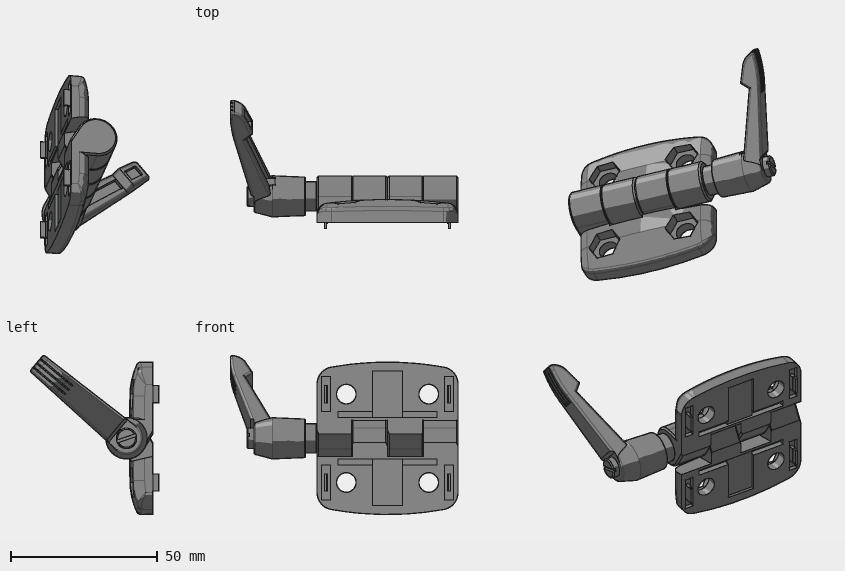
import cadquery as cq
import math


FACE_Y = -9.0
HALF_WIDTH = 24.0
END_Z = 25.95
END_RADIUS = 108.5
CORNER_RADIUS = 6.0
THICKNESS = 7.9
DOME_RADIUS_ACROSS = 170.5
DOME_RADIUS_ALONG = 25.6
DOME_START_Z = 14.3
SIDE_FILLET = 3.9
END_FILLET = 1.55

KNUCKLE_RADIUS = 7.0
KNUCKLE_FOOT_Z = 1.5
KNUCKLE_PITCH = HALF_WIDTH / 2
KNUCKLE_GAP = 0.15
FREE_CHAMFER = 0.6
GAP_CHAMFER = 0.2
CLEARANCE_FACE_Z = 6.1
CLEARANCE_BACK_Z = 8.0

HOLE_X = 14.0
HOLE_Z = 15.0
HOLE_DIAMETER = 6.6
NUT_ACROSS_FLATS = 10.0
NUT_FLOOR_DEPTH = 3.6
CENTRE_HALF_WIDTH = 5.0
CENTRE_INNER_Z = 7.05
CENTRE_OUTER_Z = 22.9
CENTRE_DEPTH = 1.0
SLOT_HALF_LENGTH = 16.9
SLOT_OUTER_Z = 9.1
SLOT_DEPTH = 2.0
POCKET_X = 20.9
POCKET_WIDTH = 3.1
POCKET_LENGTH = 11.9
POCKET_DEPTH = 1.5
TAB_THICKNESS = 0.8
TAB_LENGTH = 5.9
TAB_HEIGHT = 2.0
TAB_FOOT_STEP = 0.3

LEVER_ANGLE = 40.0
HUB_RIGHT_X = -28.0
HUB_JOINT_X = -39.1
HUB_LEFT_X = -45.4
HUB_RIGHT_RADIUS = 6.6
HUB_JOINT_RADIUS = 7.05
HUB_LEFT_RADIUS = 5.4
HUB_LEFT_FILLET = 0.6
HUB_RIGHT_CHAMFER = 0.2
ARM_TIP = 39.9
ARM_HALF_WIDTH_AXIS = 5.2
ARM_HALF_WIDTH_TIP = 3.65
ARM_OUTER_X = -53.5
ARM_FILLET = 0.8
TIP_FILLET = 0.5
CHANNEL_HALF_WIDTH = 1.9
CHANNEL_DEPTH = 1.9
LUG_WALL = 1.0
GRIP_SPACING = 1.85
GRIP_WIDTH = 0.5
GRIP_START = 25.6
GRIP_START_X = -51.3
GRIP_END_X = -52.7

COLLAR_RADIUS = 5.0
COLLAR_CHAMFER = 0.2
SCREW_RADIUS = 3.5
SCREW_HEIGHT = 2.5
SCREW_CHAMFER = 0.5
SCREW_SLOT_WIDTH = 1.0
SCREW_SLOT_DEPTH = 1.0
SCREW_SLOT_ANGLE = -19.0


def box(x0, x1, y0, y1, z0, z1):
    return cq.Workplane("XY").box(x1 - x0, y1 - y0, z1 - z0, centered=False).translate((x0, y0, z0))


def leaf_outline():
    """Plate with a crowned outer end and rounded corners, tall enough to hold the dome."""
    centre_z = END_Z - END_RADIUS
    corner_x = HALF_WIDTH - CORNER_RADIUS
    corner_rise = math.sqrt((END_RADIUS - CORNER_RADIUS) ** 2 - corner_x**2)
    corner_z = centre_z + corner_rise
    tangent = math.atan2(corner_rise, corner_x)
    middle_angle = (tangent + math.pi / 2) / 2

    def end_arc_point(angle):
        return (END_RADIUS * math.cos(angle), centre_z + END_RADIUS * math.sin(angle))

    tangent_x, tangent_z = end_arc_point(tangent)
    middle_x = corner_x + CORNER_RADIUS * math.cos(tangent / 2)
    middle_z = corner_z + CORNER_RADIUS * math.sin(tangent / 2)
    return (
        cq.Workplane("XZ", origin=(0, FACE_Y, 0))
        .moveTo(-HALF_WIDTH, 0)
        .lineTo(HALF_WIDTH, 0)
        .lineTo(HALF_WIDTH, corner_z)
        .threePointArc((middle_x, middle_z), (tangent_x, tangent_z))
        .threePointArc(end_arc_point(middle_angle), (0, END_Z))
        .threePointArc(end_arc_point(math.pi - middle_angle), (-tangent_x, tangent_z))
        .threePointArc((-middle_x, middle_z), (-HALF_WIDTH, corner_z))
        .close()
        .extrude(-2 * THICKNESS)
    )


def dome():
    """Ring whose outer surface is the doubly curved back of the leaf."""
    plane = cq.Plane(
        origin=(0, FACE_Y + THICKNESS - DOME_RADIUS_ACROSS, 0), xDir=(0, -1, 0), normal=(-1, 0, 0)
    )

    def crest(z):
        drop = DOME_RADIUS_ALONG - math.sqrt(DOME_RADIUS_ALONG**2 - (z - DOME_START_Z) ** 2)
        return (DOME_RADIUS_ACROSS - drop, z)

    top_z = END_Z + 0.8
    inner = DOME_RADIUS_ACROSS - 2 * THICKNESS
    return (
        cq.Workplane(plane)
        .moveTo(inner, 0)
        .lineTo(DOME_RADIUS_ACROSS, 0)
        .lineTo(DOME_RADIUS_ACROSS, DOME_START_Z)
        .threePointArc(crest((DOME_START_Z + top_z) / 2), crest(top_z))
        .lineTo(inner, top_z)
        .close()
        .revolve(360, (0, 0), (0, 1))
    )


def leaf_plate():
    block = box(-HALF_WIDTH, HALF_WIDTH, FACE_Y, FACE_Y + 2 * THICKNESS, CLEARANCE_FACE_Z, END_Z + 0.8)
    block = block.intersect(dome())
    for side in (-HALF_WIDTH, HALF_WIDTH):
        back_edges = cq.selectors.BoxSelector(
            (side - 0.1, FACE_Y + 0.8, CLEARANCE_FACE_Z + 0.1), (side + 0.1, FACE_Y + THICKNESS, END_Z + 0.7)
        )
        block = block.edges(back_edges).fillet(SIDE_FILLET)
    plate = block.intersect(leaf_outline())
    end_edges = cq.selectors.BoxSelector(
        (-HALF_WIDTH / 2, FACE_Y + 0.8, END_Z - 1.55), (HALF_WIDTH / 2, FACE_Y + THICKNESS, END_Z + 0.8)
    )
    return plate.edges(end_edges).fillet(END_FILLET)


def knuckle_clearance(x_left, x_right):
    """Space for a mating knuckle, with a sloped wall."""
    deep = 2 * THICKNESS
    slope = (CLEARANCE_BACK_Z - CLEARANCE_FACE_Z) / THICKNESS
    return (
        cq.Workplane("YZ", origin=(x_left, 0, 0))
        .moveTo(FACE_Y, CLEARANCE_FACE_Z)
        .lineTo(FACE_Y + deep, CLEARANCE_FACE_Z + deep * slope)
        .lineTo(FACE_Y + deep, 0)
        .lineTo(FACE_Y, 0)
        .close()
        .extrude(x_right - x_left)
    )


def knuckle(x_left, x_right):
    """Barrel around the hinge axis, joined to the mounting face by a tangent underside."""
    foot_distance = math.hypot(FACE_Y, KNUCKLE_FOOT_Z)
    tangent = math.atan2(KNUCKLE_FOOT_Z, FACE_Y) + math.acos(KNUCKLE_RADIUS / foot_distance)
    return (
        cq.Workplane("YZ", origin=(x_left, 0, 0))
        .moveTo(FACE_Y, KNUCKLE_FOOT_Z)
        .lineTo(KNUCKLE_RADIUS * math.cos(tangent), KNUCKLE_RADIUS * math.sin(tangent))
        .threePointArc((KNUCKLE_RADIUS, 0), (0, KNUCKLE_RADIUS))
        .lineTo(FACE_Y, KNUCKLE_RADIUS)
        .close()
        .extrude(x_right - x_left)
        .faces("<X").edges("%CIRCLE or <Z").chamfer(FREE_CHAMFER)
        .faces(">X").edges("%CIRCLE or <Z").chamfer(GAP_CHAMFER)
    )


def mounting_recesses():
    """Shallow centre recess with a narrow slot on each side of it."""
    centre = box(
        -CENTRE_HALF_WIDTH, CENTRE_HALF_WIDTH, FACE_Y, FACE_Y + CENTRE_DEPTH, CENTRE_INNER_Z, CENTRE_OUTER_Z
    )
    right = box(
        CENTRE_HALF_WIDTH, SLOT_HALF_LENGTH, FACE_Y, FACE_Y + SLOT_DEPTH, CENTRE_INNER_Z, SLOT_OUTER_Z
    )
    return centre.union(right).union(right.mirror("YZ"))


def tab_pocket():
    half_width = POCKET_WIDTH / 2
    half_length = POCKET_LENGTH / 2
    return box(
        POCKET_X - half_width, POCKET_X + half_width,
        FACE_Y, FACE_Y + POCKET_DEPTH,
        HOLE_Z - half_length, HOLE_Z + half_length,
    )


def tab():
    """Locating tab standing on the pocket floor, with a stepped foot."""
    outer_x = POCKET_X + (TAB_THICKNESS + TAB_FOOT_STEP) / 2
    inner_x = outer_x - TAB_THICKNESS
    z0 = HOLE_Z - TAB_LENGTH / 2
    z1 = HOLE_Z + TAB_LENGTH / 2
    blade = box(inner_x, outer_x, FACE_Y - TAB_HEIGHT, FACE_Y + POCKET_DEPTH, z0, z1)
    foot = box(inner_x - TAB_FOOT_STEP, outer_x, FACE_Y - TAB_FOOT_STEP, FACE_Y + POCKET_DEPTH, z0, z1)
    return blade.union(foot)


def mounting_hole(x):
    """Through hole with a hexagonal nut recess in the back."""
    bore = (
        cq.Workplane("XZ", origin=(x, FACE_Y, HOLE_Z))
        .circle(HOLE_DIAMETER / 2)
        .extrude(-THICKNESS)
    )
    corner_diameter = NUT_ACROSS_FLATS / math.cos(math.pi / 6)
    nut_recess = (
        cq.Workplane("XZ", origin=(x, FACE_Y + NUT_FLOOR_DEPTH, HOLE_Z))
        .polygon(6, corner_diameter)
        .extrude(-THICKNESS)
    )
    return bore.union(nut_recess)


def hinge_leaf():
    gap = KNUCKLE_GAP / 2
    body = leaf_plate()
    body = body.cut(knuckle_clearance(-KNUCKLE_PITCH - gap, 0))
    body = body.cut(knuckle_clearance(KNUCKLE_PITCH - gap, HALF_WIDTH))
    body = body.union(knuckle(-HALF_WIDTH, -KNUCKLE_PITCH - gap))
    body = body.union(knuckle(0, KNUCKLE_PITCH - gap))
    body = body.cut(mounting_recesses())
    for x in (-HOLE_X, HOLE_X):
        body = body.cut(mounting_hole(x))
    body = body.cut(tab_pocket()).cut(tab_pocket().mirror("YZ"))
    return body.union(tab()).union(tab().mirror("YZ"))


SHOULDER_INNER = (HUB_LEFT_X, 3.8)
SHOULDER_OUTER = (-46.6, 4.8)
BEND_START = (-52.3, 28.2)
LEAN = math.atan2(SHOULDER_OUTER[0] - BEND_START[0], BEND_START[1] - SHOULDER_OUTER[1])
BEND_TANGENT = (BEND_START[0] - ARM_OUTER_X) / math.sin(LEAN)
BEND_END = (ARM_OUTER_X, BEND_START[1] + BEND_TANGENT * (1 + math.cos(LEAN)))
TIP_INNER = (-52.15, ARM_TIP)
LUG_CURVE_MIDDLE = (-49.75, 38.5)
LUG_CURVE_END = (-48.1, 36.0)
LUG_HEEL = (-45.9, 30.6)
LUG_ROOT = (-48.35, 28.2)
ARM_ROOT = (-39.9, 5.4)


def lever_hub():
    return (
        cq.Workplane("XZ")
        .polyline([
            (HUB_LEFT_X, 0),
            (HUB_LEFT_X, HUB_LEFT_RADIUS),
            (HUB_JOINT_X, HUB_JOINT_RADIUS),
            (HUB_RIGHT_X, HUB_RIGHT_RADIUS),
            (HUB_RIGHT_X, 0),
        ])
        .close()
        .revolve(360, (0, 0), (1, 0))
        .faces("<X").edges().fillet(HUB_LEFT_FILLET)
        .faces(">X").edges().chamfer(HUB_RIGHT_CHAMFER)
    )


def arm_side_edges(x0, x1, y0, y1):
    """Selects the edges along both arm sides whose centres lie in the given range of X and Y."""
    inner_z = ARM_HALF_WIDTH_TIP / 2
    outer_z = ARM_HALF_WIDTH_AXIS
    upper = cq.selectors.BoxSelector((x0, y0, inner_z), (x1, y1, outer_z))
    lower = cq.selectors.BoxSelector((x0, y0, -outer_z), (x1, y1, -inner_z))
    return upper + lower


def lever_arm():
    profile = (
        cq.Workplane("XY")
        .moveTo(HUB_LEFT_X, 0)
        .lineTo(*SHOULDER_INNER)
        .lineTo(*SHOULDER_OUTER)
        .lineTo(*BEND_START)
        .tangentArcPoint(BEND_END, relative=False)
        .lineTo(ARM_OUTER_X, ARM_TIP)
        .lineTo(*TIP_INNER)
        .threePointArc(LUG_CURVE_MIDDLE, LUG_CURVE_END)
        .lineTo(*LUG_HEEL)
        .lineTo(*LUG_ROOT)
        .lineTo(*ARM_ROOT)
        .lineTo(HUB_JOINT_X, 0)
        .close()
        .extrude(2 * ARM_HALF_WIDTH_AXIS, both=True)
    )
    plan = (
        cq.Workplane("YZ", origin=(ARM_OUTER_X, 0, 0))
        .moveTo(0, -ARM_HALF_WIDTH_AXIS)
        .lineTo(ARM_TIP, -ARM_HALF_WIDTH_TIP)
        .lineTo(ARM_TIP, ARM_HALF_WIDTH_TIP)
        .lineTo(0, ARM_HALF_WIDTH_AXIS)
        .close()
        .extrude(HUB_RIGHT_X - ARM_OUTER_X)
    )
    arm = profile.intersect(plan)
    side_edges = arm_side_edges(ARM_OUTER_X - 0.1, ARM_ROOT[0] - 1.55, BEND_START[1] / 3, ARM_TIP + 0.1)
    arm = arm.edges(side_edges).fillet(ARM_FILLET)
    tip_edge = cq.selectors.BoxSelector(
        (ARM_OUTER_X - 0.1, ARM_TIP - 0.1, -0.1), (ARM_OUTER_X + 0.1, ARM_TIP + 0.1, 0.1)
    )
    return arm.edges(tip_edge).fillet(TIP_FILLET)


def hinge_side_channel(start, end):
    """Straight-ended channel sunk into the hinge side of the arm between two profile points."""
    return (
        cq.Workplane("XY")
        .moveTo(start[0] + CHANNEL_DEPTH, start[1])
        .lineTo(start[0] - CHANNEL_DEPTH, start[1])
        .lineTo(end[0] - CHANNEL_DEPTH, end[1])
        .lineTo(end[0] + CHANNEL_DEPTH, end[1])
        .close()
        .extrude(CHANNEL_HALF_WIDTH, both=True)
    )


def lug_pocket():
    """Pocket in the lug, closed at the heel."""
    floor_rise = LUG_CURVE_END[0] - LUG_HEEL[0]
    slope = floor_rise / (LUG_CURVE_END[1] - LUG_HEEL[1])
    end_y = LUG_HEEL[1] + LUG_WALL
    end = (LUG_HEEL[0] + slope * LUG_WALL, end_y)
    start = (LUG_CURVE_END[0], LUG_CURVE_END[1] + LUG_WALL)
    return hinge_side_channel(start, end)


def grip_groove(z):
    """Groove on the outer side of the tip, running out at its inner end."""
    return (
        cq.Workplane("XY", origin=(0, 0, z))
        .moveTo(GRIP_START_X, GRIP_START)
        .lineTo(GRIP_END_X, ARM_TIP + 0.8)
        .lineTo(ARM_OUTER_X - 0.8, ARM_TIP + 0.8)
        .lineTo(ARM_OUTER_X - 0.8, GRIP_START)
        .close()
        .extrude(GRIP_WIDTH / 2, both=True)
    )


def clamping_lever():
    lever = lever_hub().union(lever_arm())
    lever = lever.cut(hinge_side_channel((ARM_ROOT[0], ARM_ROOT[1] + 0.8), LUG_ROOT))
    lever = lever.cut(lug_pocket())
    for z in (-GRIP_SPACING, 0, GRIP_SPACING):
        lever = lever.cut(grip_groove(z))
    return lever.rotate((0, 0, 0), (1, 0, 0), LEVER_ANGLE)


def collar():
    return (
        cq.Workplane("YZ", origin=(HUB_RIGHT_X, 0, 0))
        .circle(COLLAR_RADIUS)
        .extrude(-HALF_WIDTH - HUB_RIGHT_X)
        .faces(">X").edges().chamfer(COLLAR_CHAMFER)
    )


def screw():
    left_x = HUB_LEFT_X - SCREW_HEIGHT
    head = (
        cq.Workplane("YZ", origin=(left_x, 0, 0))
        .circle(SCREW_RADIUS)
        .extrude(SCREW_HEIGHT)
        .faces("<X").edges().chamfer(SCREW_CHAMFER)
    )
    slot = (
        cq.Workplane("YZ", origin=(left_x, 0, 0))
        .transformed(rotate=(0, 0, SCREW_SLOT_ANGLE))
        .rect(3 * SCREW_RADIUS, SCREW_SLOT_WIDTH)
        .extrude(SCREW_SLOT_DEPTH)
    )
    return head.cut(slot)


upper_leaf = hinge_leaf()
lower_leaf = upper_leaf.rotate((0, 0, 0), (0, 1, 0), 180)

result = cq.Compound.makeCompound([
    upper_leaf.val(),
    lower_leaf.val(),
    clamping_lever().val(),
    collar().val(),
    screw().val(),
])